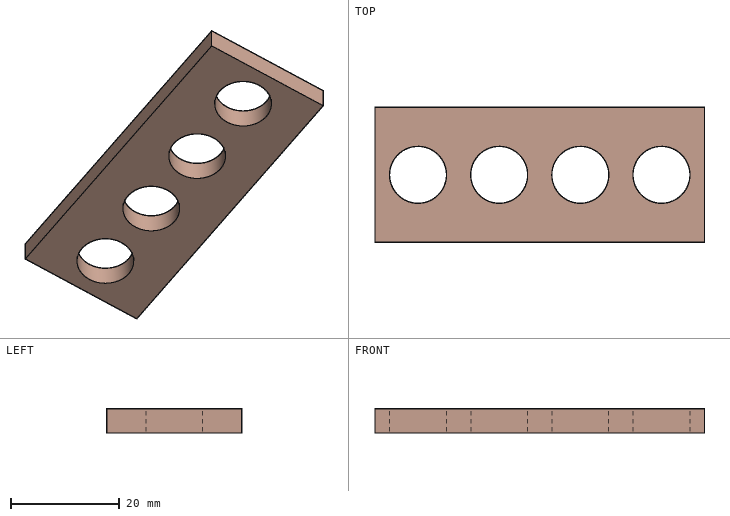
import cadquery as cq

length = 61.0
width = 25.0
thickness = 4.5

hole_count = 4
hole_diameter = 10.5
hole_pitch = 15.0

plate = cq.Workplane("XY").box(length, width, thickness)

result = (
    plate.faces(">Z")
    .workplane()
    .rarray(hole_pitch, width, hole_count, 1)
    .hole(hole_diameter)
)